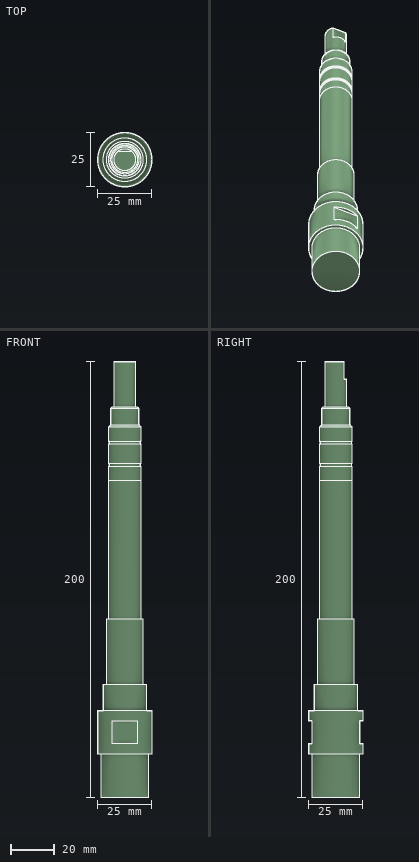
import cadquery as cq

TOTAL_LENGTH = 200.0

STEP_ALLOWANCE = 1.9
COLLAR_DIAMETER = 25.0
SHOULDER_DIAMETER = 20.0
TUBE_DIAMETER = 15.0
BASE_DIAMETER = SHOULDER_DIAMETER + STEP_ALLOWANCE
SLEEVE_DIAMETER = TUBE_DIAMETER + STEP_ALLOWANCE

BASE_TOP = 20.0
COLLAR_TOP = 40.0
SHOULDER_TOP = 52.0
SLEEVE_TOP = 82.0
JOINT_HEIGHT = 145.5

ACROSS_FLATS = 22.0
FLAT_HEIGHT = 10.5

HEAD_TOP = 171.0
NECK_TOP = 179.2
NECK_DIAMETER = 13.0
NECK_CHAMFER = 0.5
TIP_DIAMETER = 10.0
HEAD_CHAMFER = (TUBE_DIAMETER - NECK_DIAMETER) / 2

GROOVE_DIAMETER = 14.5
GROOVE_WIDTH = 1.2
GROOVE_PITCH = 10.2
LOWER_GROOVE_BOTTOM = 152.0
GROOVE_COUNT = 2

TIP_FLAT_LENGTH = 8.0
TIP_FLAT_OFFSET = 3.8


def cylinder(diameter, bottom, top):
    """Round bar on the Z axis between two heights."""
    return cq.Workplane("XY").workplane(offset=bottom).circle(diameter / 2).extrude(top - bottom)


def make_housing():
    """Stepped body with a collar that carries two opposite wrench flats."""
    body = cylinder(BASE_DIAMETER, 0, BASE_TOP)
    body = body.union(cylinder(COLLAR_DIAMETER, BASE_TOP, COLLAR_TOP))
    body = body.union(cylinder(SHOULDER_DIAMETER, COLLAR_TOP, SHOULDER_TOP))
    body = body.union(cylinder(SLEEVE_DIAMETER, SHOULDER_TOP, SLEEVE_TOP))
    body = body.union(cylinder(TUBE_DIAMETER, SLEEVE_TOP, JOINT_HEIGHT))

    flat_center = (BASE_TOP + COLLAR_TOP) / 2
    cutter_depth = COLLAR_DIAMETER - ACROSS_FLATS
    for side in (-1, 1):
        cutter = cq.Workplane("XY").box(COLLAR_DIAMETER, cutter_depth, FLAT_HEIGHT)
        cutter_y = side * (ACROSS_FLATS + cutter_depth) / 2
        body = body.cut(cutter.translate((0, cutter_y, flat_center)))
    return body


def make_spindle():
    """Grooved and chamfered head, chamfered neck and flatted tip."""
    head = cylinder(TUBE_DIAMETER, JOINT_HEIGHT, HEAD_TOP).faces(">Z").chamfer(HEAD_CHAMFER)
    for index in range(GROOVE_COUNT):
        bottom = LOWER_GROOVE_BOTTOM + index * GROOVE_PITCH
        top = bottom + GROOVE_WIDTH
        ring = cylinder(TUBE_DIAMETER, bottom, top).cut(cylinder(GROOVE_DIAMETER, bottom, top))
        head = head.cut(ring)

    neck = cylinder(NECK_DIAMETER, HEAD_TOP, NECK_TOP).faces(">Z").chamfer(NECK_CHAMFER)
    tip = cylinder(TIP_DIAMETER, NECK_TOP, TOTAL_LENGTH)
    cutter = cq.Workplane("XY").box(TIP_DIAMETER, TIP_DIAMETER, TIP_FLAT_LENGTH)
    cutter_y = TIP_FLAT_OFFSET + TIP_DIAMETER / 2
    cutter_z = TOTAL_LENGTH - TIP_FLAT_LENGTH / 2
    tip = tip.cut(cutter.translate((0, cutter_y, cutter_z)))
    return head.union(neck).union(tip)


housing = make_housing()
spindle = make_spindle()
result = cq.Compound.makeCompound([housing.val(), spindle.val()])